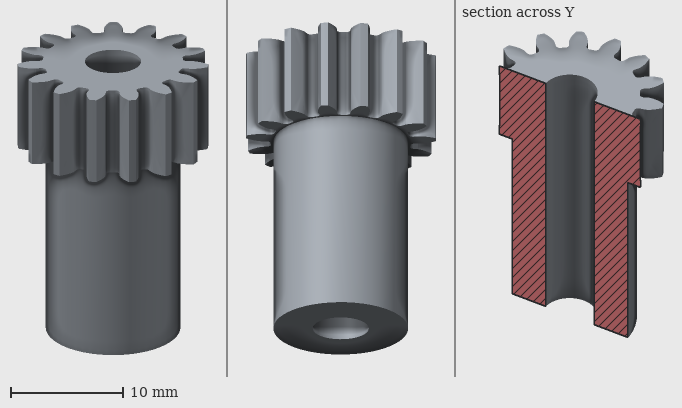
import cadquery as cq
import math

module = 1.0
tooth_count = 15
pressure_angle = math.radians(20)
gear_width = 8.0
first_tooth_angle = math.radians(-90)

hub_diameter = 12.0
hub_length = 18.0
bore_diameter = 5.0

pitch_radius = module * tooth_count / 2
base_radius = pitch_radius * math.cos(pressure_angle)
tip_radius = pitch_radius + module
dedendum = 1.25 * module
root_radius = pitch_radius - dedendum
fillet_radius = 0.38 * module
tooth_pitch = 2 * math.pi / tooth_count
total_length = hub_length + gear_width
flank_steps = 4


def involute(angle):
    return math.tan(angle) - angle


def half_tooth_angle(radius):
    """Half the angle a tooth spans at a radius on its involute flank."""
    half_at_pitch = tooth_pitch / 4
    return half_at_pitch + involute(pressure_angle) - involute(math.acos(base_radius / radius))


def polar(radius, angle):
    return (radius * math.cos(angle), radius * math.sin(angle))


base_half_angle = half_tooth_angle(base_radius)
fillet_centre_radius = root_radius + fillet_radius
fillet_half_angle = base_half_angle + math.asin(fillet_radius / fillet_centre_radius)
fillet_top_radius = math.sqrt(fillet_centre_radius**2 - fillet_radius**2)


def fillet_middle(tooth_angle, side):
    """Point halfway along the root fillet; side is -1 or +1 about the tooth centre."""
    centre_angle = tooth_angle + side * fillet_half_angle
    flank_normal = tooth_angle + side * (base_half_angle - math.pi / 2)
    root_normal = centre_angle - side * math.pi
    centre_x, centre_y = polar(fillet_centre_radius, centre_angle)
    offset_x, offset_y = polar(fillet_radius, (flank_normal + root_normal) / 2)
    return (centre_x + offset_x, centre_y + offset_y)


def flank_points(tooth_angle, side):
    """Involute points from the base circle out to the tip."""
    flank_height = tip_radius - base_radius
    radii = [base_radius + flank_height * (i / flank_steps) ** 2 for i in range(flank_steps + 1)]
    return [polar(r, tooth_angle + side * half_tooth_angle(r)) for r in radii]


def add_tooth(outline, angle):
    """Continue the outline over one tooth and the root arc that follows it."""
    rising = flank_points(angle, -1)
    falling = flank_points(angle, 1)[::-1]
    next_angle = angle + tooth_pitch
    return (
        outline
        .threePointArc(fillet_middle(angle, -1), polar(fillet_top_radius, angle - base_half_angle))
        .lineTo(*rising[0])
        .spline(rising[1:], includeCurrent=True)
        .threePointArc(polar(tip_radius, angle), falling[0])
        .spline(falling[1:], includeCurrent=True)
        .lineTo(*polar(fillet_top_radius, angle + base_half_angle))
        .threePointArc(fillet_middle(angle, 1), polar(root_radius, angle + fillet_half_angle))
        .threePointArc(
            polar(root_radius, angle + tooth_pitch / 2),
            polar(root_radius, next_angle - fillet_half_angle),
        )
    )


def make_gear():
    start = polar(root_radius, first_tooth_angle - fillet_half_angle)
    outline = cq.Workplane("XY").workplane(offset=hub_length).moveTo(*start)
    for i in range(tooth_count):
        outline = add_tooth(outline, first_tooth_angle + i * tooth_pitch)
    return outline.close().extrude(gear_width)


def make_hub():
    return cq.Workplane("XY").circle(hub_diameter / 2).extrude(hub_length)


def make_bore():
    return cq.Workplane("XY").circle(bore_diameter / 2).extrude(total_length)


result = make_hub().union(make_gear()).cut(make_bore())